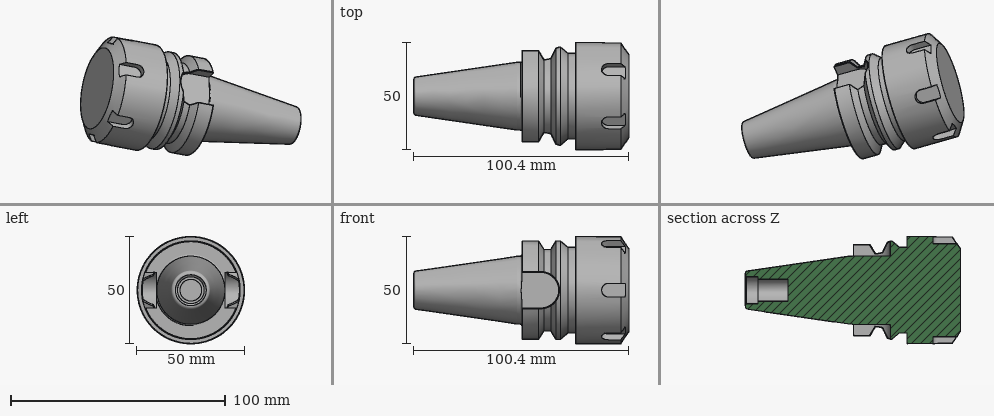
import cadquery as cq
import math


tolerance = 0.1

gauge_x = 48.4
gauge_radius = 31.75 / 2
taper_ratio = 7 / 24
nose_radius = gauge_radius - gauge_x * taper_ratio / 2
nose_fillet = 1.5
shank_fillet = 0.7

flange_x = 50.4
flange_radius = 46 / 2
flange_edge = 0.4
groove_radius = 19.05
groove_start_x = 58.5
groove_floor_start_x = 60.75
groove_floor_end_x = 63.9
groove_end_x = 66.3
collar_end_x = 68.7
collar_edge = 0.3
neck_x = 71.9
neck_radius = 40 / 2

nut_x = 75.4
nut_radius = 50.04 / 2
nut_edge = 0.25
nut_chamfer_x = 96.5
end_x = 100.4
nut_end_radius = 19.2

bore_radius = 12.5 / 2
bore_mouth_radius = 7.2
bore_mouth_depth = 0.7
bore_depth = 6.0
inner_bore_radius = 10.11 / 2
inner_bore_depth = 20.0

drive_slot_width = 16.6
drive_slot_end_x = 67.6
drive_slot_floor = 16.0
drive_slot_edge = 0.4

wrench_slot_count = 6
wrench_slot_width = 6.4
wrench_slot_start_x = 87.6
wrench_slot_floor = 21.7


def make_body():
    """Solid of revolution with the shank, flange, collar, neck and nut."""
    profile = (
        cq.Workplane("XY")
        .lineTo(0, nose_radius)
        .lineTo(gauge_x, gauge_radius)
        .lineTo(flange_x, gauge_radius)
        .lineTo(flange_x, flange_radius - flange_edge)
        .lineTo(flange_x + flange_edge, flange_radius)
        .lineTo(groove_start_x - flange_edge, flange_radius)
        .lineTo(groove_start_x, flange_radius - flange_edge)
        .lineTo(groove_floor_start_x, groove_radius)
        .lineTo(groove_floor_end_x, groove_radius)
        .lineTo(groove_end_x, flange_radius)
        .lineTo(collar_end_x - collar_edge, flange_radius)
        .lineTo(collar_end_x, flange_radius - collar_edge)
        .lineTo(neck_x, neck_radius)
        .lineTo(nut_x, neck_radius)
        .lineTo(nut_x, nut_radius - nut_edge)
        .lineTo(nut_x + nut_edge, nut_radius)
        .lineTo(nut_chamfer_x, nut_radius)
        .lineTo(end_x, nut_end_radius)
        .lineTo(end_x, 0)
        .close()
    )
    body = profile.revolve(360, (0, 0, 0), (1, 0, 0))
    body = body.faces("<X").edges().fillet(nose_fillet)
    reach = gauge_radius + tolerance
    shank_corner = cq.selectors.BoxSelector(
        (flange_x - tolerance, -reach, -reach),
        (flange_x + tolerance, reach, reach),
        boundingbox=True,
    )
    return body.edges(shank_corner).fillet(shank_fillet)


def make_bore():
    """Stepped blind bore with a countersunk mouth."""
    profile = (
        cq.Workplane("XY")
        .lineTo(0, bore_mouth_radius)
        .lineTo(bore_mouth_depth, bore_radius)
        .lineTo(bore_depth, bore_radius)
        .lineTo(bore_depth, inner_bore_radius)
        .lineTo(inner_bore_depth, inner_bore_radius)
        .lineTo(inner_bore_depth, 0)
        .close()
    )
    return profile.revolve(360, (0, 0, 0), (1, 0, 0))


def make_slot(width, round_x, open_x, floor, angle):
    """Cutter with a flat floor, round at round_x, square at open_x, turned about X by angle."""
    half = width / 2
    toward_open = math.copysign(half, open_x - round_x)
    centre_x = round_x + toward_open
    slot = (
        cq.Workplane("XZ", origin=(0, -floor, 0))
        .moveTo(open_x, -half)
        .lineTo(centre_x, -half)
        .threePointArc((round_x, 0), (centre_x, half))
        .lineTo(open_x, half)
        .close()
        .extrude(nut_radius)
    )
    return slot.rotate((0, 0, 0), (1, 0, 0), angle)


def cut_drive_slots(body):
    """Two opposite slots open towards the shank."""
    for angle in (0, 180):
        body = body.cut(
            make_slot(drive_slot_width, drive_slot_end_x, gauge_x, drive_slot_floor, angle)
        )
    return body


def chamfer_drive_slots(body):
    """Break the outer rim of both drive slots, leaving the floor edges sharp."""
    half = drive_slot_width / 2
    wall_edges = cq.selectors.ParallelDirSelector(cq.Vector(0, 1, 0))
    for side in (-1, 1):
        slot_box = cq.selectors.BoxSelector(
            (flange_x + flange_edge / 2, side * (drive_slot_floor + tolerance), -half - tolerance),
            (drive_slot_end_x + tolerance, side * nut_radius, half + tolerance),
            boundingbox=True,
        )
        body = body.edges(slot_box - wall_edges).chamfer(drive_slot_edge)
    return body


def cut_wrench_slots(body):
    """Evenly spaced slots open towards the nut face."""
    for index in range(wrench_slot_count):
        angle = index * 360 / wrench_slot_count
        body = body.cut(
            make_slot(wrench_slot_width, wrench_slot_start_x, end_x, wrench_slot_floor, angle)
        )
    return body


result = make_body().cut(make_bore())
result = cut_drive_slots(result)
result = chamfer_drive_slots(result)
result = cut_wrench_slots(result)